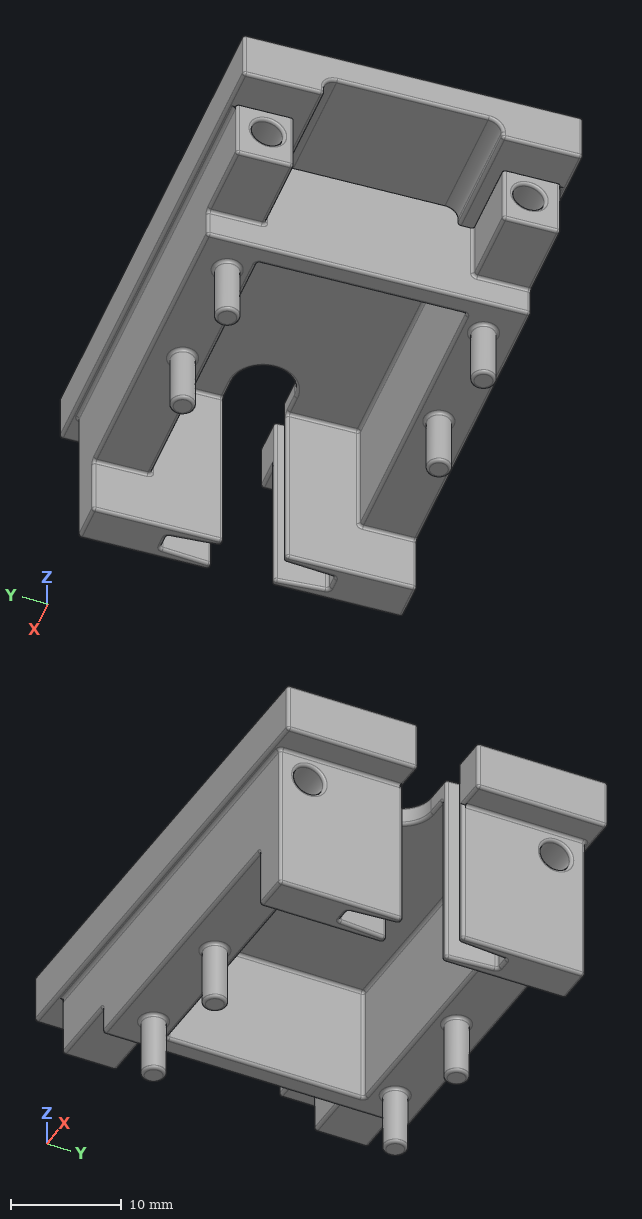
import cadquery as cq
length = 50.0
width = 32.5
height = 20.0
plate_thickness = 5.0
plate_bottom = height - plate_thickness
edge_radius = 0.3

body_width = 31.0
body_front = 4.0
body_back = 47.0
ear_bottom = 9.0
wall_front = 12.0
wall_thickness = 2.0
rail_bottom = 6.05
leg_front = 43.0

pocket_top = 18.0
rail_gap = 20.0
arch_width = 17.0
arch_top = 17.0
arch_radius = 1.25

slot_width = 6.0
slot_end_x = 40.8
notch_x = 45.0
notch_root_width = 2.5
notch_tip_width = 1.7
notch_tip_y = 8.05
notch_corner_radius = 0.3

hole_diameter = 3.0
hole_y = 12.5
hole_z = 12.5

pin_diameter = 2.3
pin_y = 12.25
pin_positions_x = (15.75, 27.85)


def block(x_start, x_end, size_y, z_start, z_end):
    """Box centred on Y, given by its X and Z limits."""
    box = cq.Workplane("XY").box(x_end - x_start, size_y, z_end - z_start, centered=(False, True, False))
    return box.translate((x_start, 0, z_start))


def body():
    """Stepped block: ears at the front, rails in the middle, legs at the back."""
    profile = (
        cq.Workplane("XZ")
        .moveTo(body_front, plate_bottom)
        .lineTo(body_front, ear_bottom)
        .lineTo(wall_front, ear_bottom)
        .lineTo(wall_front, rail_bottom)
        .lineTo(leg_front, rail_bottom)
        .lineTo(leg_front, 0)
        .lineTo(body_back, 0)
        .lineTo(body_back, plate_bottom)
        .close()
    )
    return profile.extrude(body_width / 2, both=True)


def channel(x_start, x_end):
    """Stretch of the underside channel: rail gap below, rounded arch in the plate."""
    gap = block(x_start, x_end, rail_gap, 0, plate_bottom)
    arch = block(x_start, x_end, arch_width, 0, arch_top).edges("|X and >Z").fillet(arch_radius)
    return gap.union(arch)


def cross_opening():
    """Round-ended slot open at the back, with a tapered notch on each side."""
    slot = block(slot_end_x, length, slot_width, 0, height)
    round_end = cq.Workplane("XY").center(slot_end_x, 0).circle(slot_width / 2).extrude(height)
    opening = slot.union(round_end)
    root_y = slot_width / 2
    for side in (1, -1):
        notch = (
            cq.Workplane("XY")
            .moveTo(notch_x - notch_root_width / 2, 0)
            .lineTo(notch_x - notch_root_width / 2, side * root_y)
            .lineTo(notch_x - notch_tip_width / 2, side * notch_tip_y)
            .lineTo(notch_x + notch_tip_width / 2, side * notch_tip_y)
            .lineTo(notch_x + notch_root_width / 2, side * root_y)
            .lineTo(notch_x + notch_root_width / 2, 0)
            .close()
            .extrude(height)
            .edges("|Z and >Y" if side > 0 else "|Z and <Y")
            .fillet(notch_corner_radius)
        )
        opening = opening.union(notch)
    return opening


def hole(y):
    """Bore along X through one ear, its rail and its leg."""
    return (
        cq.Workplane("YZ", origin=(body_front, y, hole_z))
        .circle(hole_diameter / 2)
        .extrude(body_back - body_front)
    )


def pin(x, y):
    """Plain pin standing below a rail."""
    return cq.Workplane("XY", origin=(x, y, 0)).circle(pin_diameter / 2).extrude(rail_bottom)


def cove():
    """Concave fillet under the plate, along the outer sides and the back of the body."""
    cove_front = body_front + edge_radius
    cove_bottom = plate_bottom - edge_radius
    skirt = block(body_front, body_back, body_width, rail_bottom, plate_bottom)
    skirt = skirt.edges("|Z").fillet(edge_radius)
    flange = block(0, length, width, plate_bottom, height)
    joint = cq.selectors.BoxSelector(
        (body_front - edge_radius, -body_width / 2 - edge_radius, cove_bottom),
        (body_back + edge_radius, body_width / 2 + edge_radius, plate_bottom + edge_radius),
    )
    flared = flange.union(skirt).edges(joint).fillet(edge_radius)
    rim = flared.intersect(block(cove_front, length, width, cove_bottom, plate_bottom))
    core = block(0, body_back - 2 * edge_radius, body_width - 4 * edge_radius, 0, height)
    slot_gap = block(0, length, slot_width + 2 * edge_radius, 0, height)
    return rim.cut(core).cut(slot_gap)


def is_sharp_joint(edge):
    """True for the inside corners where the ears, rails and cross wall meet the plate."""
    box = edge.BoundingBox()
    tolerance = 0.005
    under_plate = plate_bottom - tolerance < box.zmin and box.zmax < arch_top + tolerance
    on_body = body_front - tolerance < box.xmin and box.xmax < body_back + tolerance
    return under_plate and on_body


result = block(0, length, width, plate_bottom, height).union(body())
result = result.cut(channel(0, wall_front))
result = result.cut(block(wall_front + wall_thickness, leg_front, rail_gap, 0, pocket_top))
result = result.cut(cross_opening())
for side in (1, -1):
    result = result.cut(hole(side * hole_y))
    for x in pin_positions_x:
        result = result.union(pin(x, side * pin_y))
rounded_edges = [edge for edge in result.edges().vals() if not is_sharp_joint(edge)]
result = result.newObject(rounded_edges).fillet(edge_radius)
result = result.union(cove())